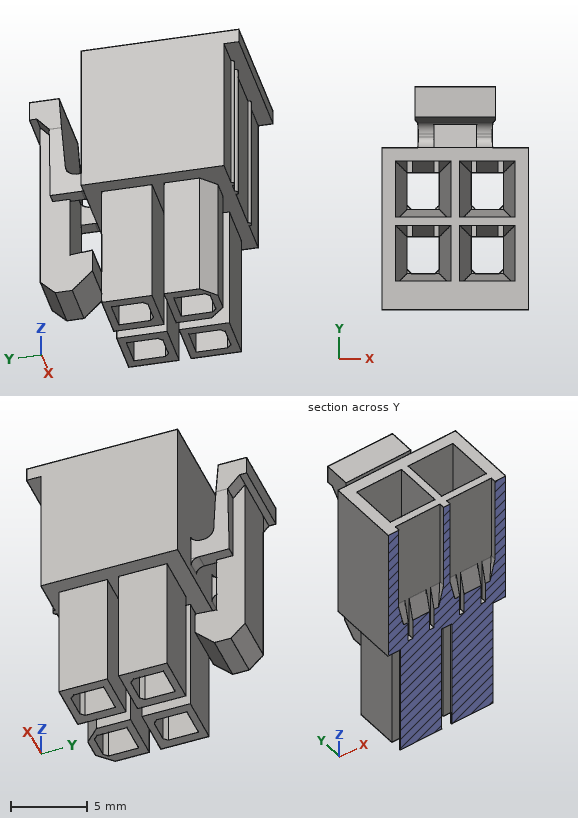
import cadquery as cq
import math

total_height = 19.6
body_width = 9.6
body_depth = 9.6
body_height = 10.75
body_bottom = total_height - body_height
flange_thickness = 1.0
flange_overhang = 1.0

rib_radius = 0.2
rib_positions = (-2.63, -1.6, 2.08)

pitch = 4.2
cell_size = 3.65
column_centers = (-pitch / 2, pitch / 2)
row_centers = (-body_depth / 2 + pitch / 2, -body_depth / 2 - pitch / 2)

leg_size = 3.4
leg_shift = (cell_size - leg_size) / 2
leg_chamfer = 1.0

bore_width = 2.1
bore_depth = 2.4
bore_chamfer = 0.27
funnel_inset = (cell_size - bore_width) / 2
funnel_slope = 77.0
funnel_height = funnel_inset * math.tan(math.radians(funnel_slope))
floor_thickness = 0.5
funnel_floor = body_bottom + floor_thickness
funnel_top = funnel_floor + funnel_height
funnel_rib_width = 1.4

lever_back = 3.5
lever_inner = 1.5
lever_width = 3.3
lever_bottom = 2.85
lever_tail_chamfer = 1.0
hook_flat_end = 1.35
hook_nose_bottom = 4.2
hook_nose_top = 5.85
hook_root_top = 5.7

pad_width = 5.3
pad_back = 4.0
pad_front = 2.0
pad_top = 17.6
pad_underside = 16.2
pad_setback = 0.85
pad_bottom = 15.25
arm_back = lever_back - pad_setback

arm_bottom_width = 4.7
arm_gap = 2.8
bridge_top = 11.52
bridge_bottom = 10.15
bridge_radius = 0.75
bridge_flat_front = 0.69
bridge_flat_back = 0.88
wall_fillet_radius = 0.55
bridge_wall_top = bridge_top + bridge_radius - math.sqrt(bridge_radius**2 - bridge_flat_front**2)

arc_center_z = bridge_top + bridge_radius
to_pad_y = pad_front - bridge_flat_back
to_pad_z = pad_top - arc_center_z
foot_angle = math.atan2(to_pad_z, to_pad_y) - math.acos(bridge_radius / math.hypot(to_pad_y, to_pad_z))
lever_foot_y = bridge_flat_back + bridge_radius * math.cos(foot_angle)
lever_foot_z = arc_center_z + bridge_radius * math.sin(foot_angle)


def block(width, depth, height, x, y, bottom):
    """Box centred on (x, y) and standing on the given height."""
    box = cq.Workplane("XY").box(width, depth, height, centered=(True, True, False))
    return box.translate((x, y, bottom))


def make_body():
    """Solid housing block with its front flange and guide ribs."""
    body = block(body_width, body_depth, body_height, 0, -body_depth / 2, body_bottom)
    flange_depth = body_depth + flange_overhang
    flange_bottom = total_height - flange_thickness
    body = body.union(block(body_width, flange_depth, flange_thickness, 0, -flange_depth / 2, flange_bottom))
    for x in rib_positions:
        rib = cq.Workplane("XY").circle(rib_radius).extrude(body_height - flange_thickness)
        body = body.union(rib.translate((x, -body_depth, body_bottom)))
    return body


def make_leg(x, y, keyed):
    """Square leg; a keyed leg has both front corners cut off."""
    leg = block(leg_size, leg_size, body_bottom, x, y, 0)
    if keyed:
        leg = leg.faces("<Y").edges("|Z").chamfer(leg_chamfer)
    return leg


def make_cell(x, row_y):
    """Cavity of one terminal: square pocket, sloped funnel and chamfered bore."""
    bore_y = row_y - leg_shift
    pocket = block(cell_size, cell_size, total_height - funnel_floor, x, row_y, funnel_floor)
    funnel = (
        cq.Workplane("XY", origin=(x, bore_y, funnel_floor))
        .rect(bore_width, bore_depth)
        .workplane(offset=funnel_height)
        .rect(bore_width + 2 * funnel_inset, bore_depth + 2 * funnel_inset)
        .loft()
    )
    above_funnel = block(2 * cell_size, 2 * cell_size, total_height - funnel_top, x, row_y, funnel_top)

    back_depth = row_y + cell_size / 2 - bore_y
    back_y = bore_y + back_depth / 2
    back_notch = block(bore_width, back_depth, funnel_height, x, back_y, funnel_floor)
    back_rib = block(funnel_rib_width, back_depth, funnel_height, x, back_y, funnel_floor)

    cavity = pocket.intersect(funnel.union(above_funnel).union(back_notch.cut(back_rib)))
    bore = block(bore_width, bore_depth, funnel_floor, x, bore_y, 0)
    return cavity.union(bore.faces("<Y").edges("|Z").chamfer(bore_chamfer))


def make_lever():
    """Narrow lever with the locking hook at its lower end."""
    return (
        cq.Workplane("YZ")
        .moveTo(lever_back, pad_underside)
        .lineTo(lever_back, lever_bottom + lever_tail_chamfer)
        .lineTo(lever_back - lever_tail_chamfer, lever_bottom)
        .lineTo(hook_flat_end, lever_bottom)
        .lineTo(0, hook_nose_bottom)
        .lineTo(0, hook_nose_top)
        .lineTo(lever_inner, hook_root_top)
        .lineTo(lever_inner, bridge_bottom)
        .lineTo(arm_back, bridge_bottom)
        .lineTo(arm_back, pad_underside)
        .close()
        .extrude(lever_width / 2, both=True)
    )


def make_pad_and_arms():
    """Wide pad, sloped lever front and bridge to the housing, from one side outline."""
    solid = (
        cq.Workplane("YZ")
        .moveTo(pad_front, pad_top)
        .lineTo(pad_back, pad_top)
        .lineTo(pad_back, pad_underside)
        .lineTo(lever_back, pad_underside)
        .lineTo(arm_back, pad_bottom)
        .lineTo(arm_back, bridge_bottom)
        .lineTo(wall_fillet_radius, bridge_bottom)
        .radiusArc((0, bridge_bottom - wall_fillet_radius), -wall_fillet_radius)
        .lineTo(0, bridge_wall_top)
        .radiusArc((bridge_flat_front, bridge_top), -bridge_radius)
        .lineTo(bridge_flat_back, bridge_top)
        .radiusArc((lever_foot_y, lever_foot_z), -bridge_radius)
        .close()
        .extrude(pad_width / 2, both=True)
    )
    envelope = (
        cq.Workplane("XZ")
        .moveTo(-pad_width / 2, pad_top)
        .lineTo(-pad_width / 2, pad_bottom)
        .lineTo(-arm_bottom_width / 2, bridge_bottom)
        .lineTo(-arm_bottom_width / 2, 0)
        .lineTo(arm_bottom_width / 2, 0)
        .lineTo(arm_bottom_width / 2, bridge_bottom)
        .lineTo(pad_width / 2, pad_bottom)
        .lineTo(pad_width / 2, pad_top)
        .close()
        .extrude(-pad_back)
    )
    gap = block(arm_gap, lever_inner, bridge_wall_top, 0, lever_inner / 2, 0)
    return solid.intersect(envelope).cut(gap)


result = make_body()
for leg_x in column_centers:
    for leg_row in row_centers:
        front_left = leg_x < 0 and leg_row == min(row_centers)
        result = result.union(make_leg(leg_x, leg_row - leg_shift, keyed=front_left))
for cell_x in column_centers:
    for cell_row in row_centers:
        result = result.cut(make_cell(cell_x, cell_row))
result = result.union(make_pad_and_arms()).union(make_lever())